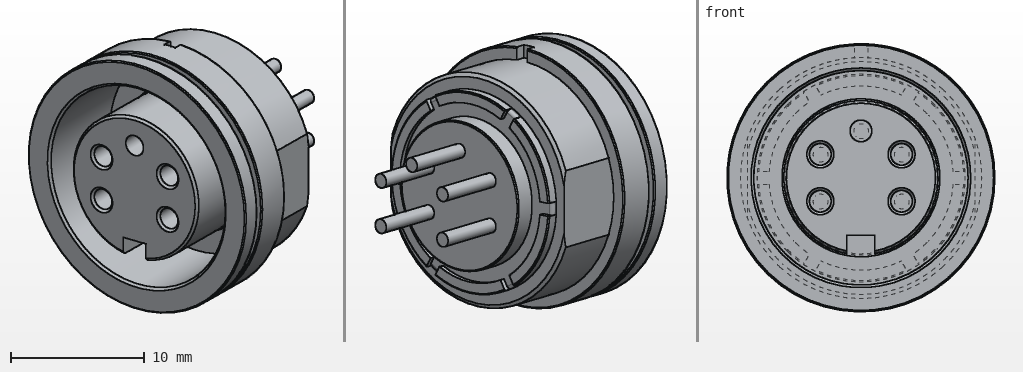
import cadquery as cq
import math


flange_radius = 10.0
flange_front = 0.25
flange_back = 1.8
body_radius = 9.0
body_back = 10.45
flat_distance = 8.5
body_chamfer_length = 0.2
body_chamfer_height = 0.3
edge_chamfer = 0.1

cavity_radius = 8.0
cavity_floor = 8.0
cavity_chamfer = 0.2

nut_front = 2.35
nut_back = 5.32
nut_slot_width = 1.0
nut_slot_depth = 0.8

lock_radius = 7.75
lock_inner_radius = 6.88
lock_back = 11.3
notch_count = 6
notch_width = 1.0
notch_depth = 0.4
notch_rounding = 0.3

insert_radius = 5.75
insert_back = 12.5
insert_chamfer = 0.2
collar_radius = 5.9
collar_front = 7.0
key_width = 2.08
key_floor = 4.28

contact_circle = 3.5
top_angle = 90
side_angles = [30, 150, 210, 330]
socket_diameter = 1.62
socket_depth = 4.0
socket_chamfer = 0.2
pin_diameter = 1.1
pin_back = 18.0


def cylinder(radius, y_start, y_end, x=0.0, z=0.0):
    """Cylinder parallel to Y between two Y positions."""
    base = cq.Workplane("XZ", origin=(x, y_start, z))
    return base.circle(radius).extrude(y_start - y_end)


def countersink(bore_radius, y_start, chamfer, x=0.0, z=0.0):
    """45 degree countersink that narrows toward +Y down to a bore."""
    mouth_centre = cq.Vector(x, y_start, z)
    axis = cq.Vector(0, 1, 0)
    return cq.Workplane(cq.Solid.makeCone(bore_radius + chamfer, bore_radius, chamfer, mouth_centre, axis))


def box(x_range, y_range, z_range):
    """Box given by its lower and upper limit along each axis."""
    size = [upper - lower for lower, upper in (x_range, y_range, z_range)]
    corner = (x_range[0], y_range[0], z_range[0])
    return cq.Workplane("XY", origin=corner).box(*size, centered=False)


def polar(angle):
    """X and Z of a contact on the pitch circle."""
    turn = math.radians(angle)
    return contact_circle * math.cos(turn), contact_circle * math.sin(turn)


def make_shell():
    """Front flange and flatted body, bored from the front."""
    flange = cylinder(flange_radius, flange_front, flange_back).edges().chamfer(edge_chamfer)

    body = cylinder(body_radius, flange_front, body_back)
    body = body.faces(">Y").chamfer(body_chamfer_length, body_chamfer_height)
    flats = box(
        (-flat_distance, flat_distance),
        (flange_front, body_back),
        (-body_radius, body_radius),
    )
    shell = flange.union(body.intersect(flats))

    cavity = cylinder(cavity_radius, flange_front, cavity_floor)
    mouth = countersink(cavity_radius, flange_front, cavity_chamfer)
    return shell.cut(cavity).cut(mouth)


def make_nut():
    """Round nut with one slot at the top of its rear face."""
    nut = cylinder(flange_radius, nut_front, nut_back).edges().chamfer(edge_chamfer)
    slot = box(
        (-nut_slot_width / 2, nut_slot_width / 2),
        (nut_back - nut_slot_depth, nut_back),
        (0, flange_radius),
    )
    return nut.cut(cylinder(body_radius, nut_front, nut_back)).cut(slot)


def make_lock_ring():
    """Rear ring, recessed around the insert and notched for a spanner."""
    ring = cylinder(lock_radius, body_back, lock_back).faces(">Y").chamfer(edge_chamfer)
    notch_floor = lock_back - notch_depth
    ring = ring.cut(cylinder(lock_inner_radius, notch_floor, lock_back))

    rounding_start = lock_radius - notch_rounding
    clearance = (
        cq.Workplane("XY")
        .moveTo(0, lock_back)
        .lineTo(0, notch_floor)
        .lineTo(rounding_start, notch_floor)
        .radiusArc((lock_radius, notch_floor - notch_rounding), notch_rounding)
        .lineTo(lock_radius, lock_back)
        .close()
        .revolve(360, (0, 0, 0), (0, 1, 0))
    )
    sector = box((0, lock_radius), (body_back, lock_back), (-notch_width / 2, notch_width / 2))
    notch = clearance.intersect(sector)
    for index in range(notch_count):
        ring = ring.cut(notch.rotate((0, 0, 0), (0, 1, 0), index * 360 / notch_count))
    return ring


def make_insert():
    """Insert with a key slot at the bottom, ending at a collar on the cavity floor."""
    insert = cylinder(insert_radius, 0, insert_back)
    insert = insert.faces("<Y").chamfer(insert_chamfer).faces(">Y").chamfer(edge_chamfer)
    key_slot = box(
        (-key_width / 2, key_width / 2),
        (0, collar_front),
        (-insert_radius, -key_floor),
    )
    collar = cylinder(collar_radius, collar_front, cavity_floor)
    return insert.cut(key_slot).union(collar)


def make_socket(angle):
    """Blind round socket in the mating face."""
    return cylinder(socket_diameter / 2, 0, socket_depth, *polar(angle))


def make_countersink(angle):
    """Lead-in at the mouth of a socket."""
    return countersink(socket_diameter / 2, 0, socket_chamfer, *polar(angle))


result = make_shell().union(make_nut()).union(make_lock_ring()).union(make_insert())

for contact_angle in [top_angle] + side_angles:
    result = result.cut(make_socket(contact_angle))
    result = result.union(cylinder(pin_diameter / 2, insert_back, pin_back, *polar(contact_angle)))
for contact_angle in side_angles:
    result = result.cut(make_countersink(contact_angle))